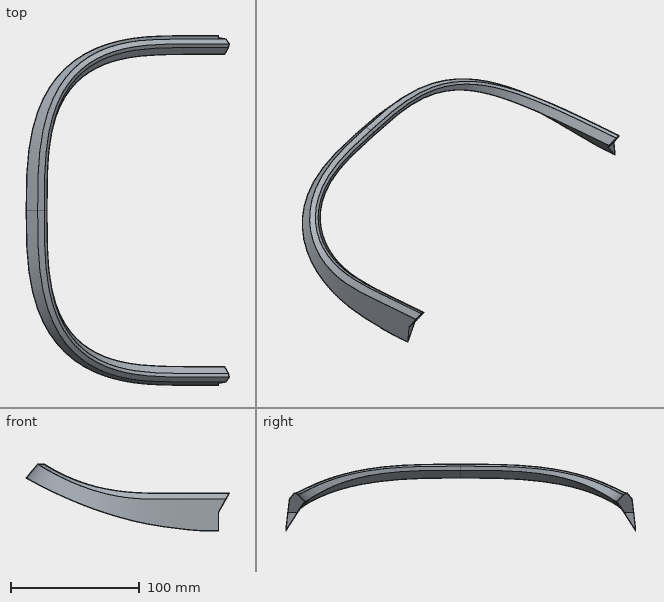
import cadquery as cq
import math

LENGTH = 157.7
HALF_WIDTH = 135.7
HEIGHT = 51.8

TIP_HEIGHT = 29.3
LOWER_END_X = 149.2
SLANT_BOTTOM = 14.5

BEND_INTERVALS = 12
OVERRUN = 8.1

OUTER_BOTTOM = ((0.0, HALF_WIDTH, 125.4, 2.88), (41.0, 0.0, 146.5, 2.0))
OUTER_TOP = ((9.0, 133.0, 112.5, 2.96), (HEIGHT, 24.7, 86.8, 2.0))
INNER_TOP = ((14.0, 129.2, 114.2, 3.12), (HEIGHT, TIP_HEIGHT, 89.5, 2.5))
INNER_BEVEL = ((16.3, 126.5, 114.5, 3.22), (50.2, 28.2, 89.5, 2.5))
INNER_LOWER = ((16.3, 121.0, 114.8, 3.31), (47.0, 22.8, 89.5, 2.5))
EDGES = (OUTER_BOTTOM, OUTER_TOP, INNER_TOP, INNER_BEVEL, INNER_LOWER)


def bend_point(edge, angle):
    """Point of a long edge: superellipse bend in plan, power-law drop in Z."""
    (start_x, arm_y, bend_length, roundness), (top, bottom, drop_length, drop_power) = edge
    exponent = 2 / roundness
    x = start_x + bend_length * (1 - max(math.cos(angle), 0) ** exponent)
    y = arm_y * math.sin(angle) ** exponent
    remaining = max(0, 1 - (x - start_x) / drop_length)
    z = bottom + (top - bottom) * remaining ** drop_power
    return cq.Vector(x, y, z)


def long_edge(edge):
    """Smooth curve from the symmetry plane, round the bend and along the arm."""
    angles = [math.pi / 2 * i / BEND_INTERVALS for i in range(BEND_INTERVALS + 1)]
    points = [bend_point(edge, angle) for angle in angles]
    (_, arm_y, _, _), (_, arm_z, _, _) = edge
    points.append(cq.Vector(LENGTH + OVERRUN, arm_y, arm_z))
    tangents = [cq.Vector(0, 1, 0), cq.Vector(1, 0, 0)]
    return cq.Edge.makeSpline(points, tangents=tangents)


def half_rim():
    """Solid bounded by ruled surfaces between neighbouring long edges."""
    curves = [long_edge(edge) for edge in EDGES]
    neighbours = list(zip(curves, curves[1:] + curves[:1]))
    faces = [cq.Face.makeRuledSurface(first, second) for first, second in neighbours]
    for end in (0, 1):
        corners = [curve.positionAt(end) for curve in curves]
        faces.append(cq.Face.makeFromWires(cq.Wire.makePolygon(corners, close=True)))
    return cq.Workplane(cq.Solid.makeSolid(cq.Shell.makeShell(faces)))


def end_trim():
    """Side profile of the space the arm keeps, extruded across the whole part."""
    return (
        cq.Workplane("XZ")
        .moveTo(-HALF_WIDTH, -HALF_WIDTH)
        .lineTo(LOWER_END_X, -HALF_WIDTH)
        .lineTo(LOWER_END_X, SLANT_BOTTOM)
        .lineTo(LENGTH, TIP_HEIGHT)
        .lineTo(LENGTH, HALF_WIDTH)
        .lineTo(-HALF_WIDTH, HALF_WIDTH)
        .close()
        .extrude(LENGTH, both=True)
    )


half = half_rim().intersect(end_trim())
result = half.union(half.mirror("XZ"))